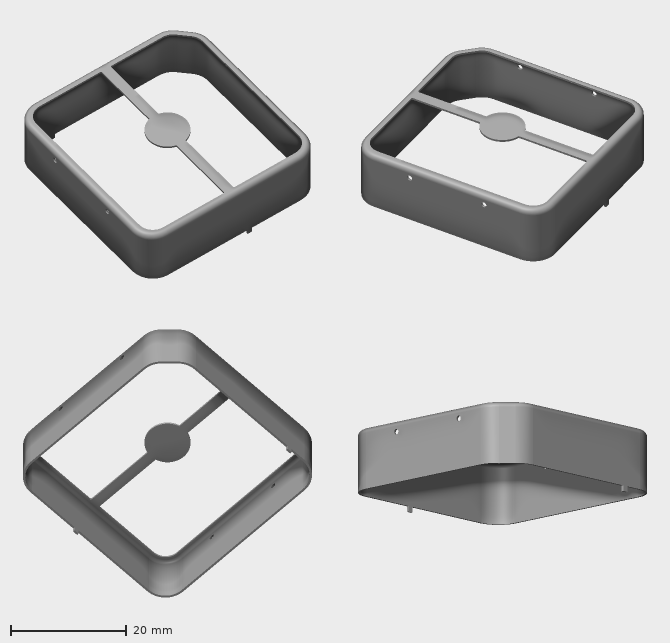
import cadquery as cq

length_x = 38.4
width_y = 37.6
body_height = 11.0
corner_radius = 4.4
chamfer_leg = 4.6
wall = 0.4
top_edge_radius = 1.0

rim_width = 1.5
bar_width = 2.0
bar_corner_radius = 0.3
disc_diameter = 8.0

hole_diameter = 1.0
hole_spacing = 14.98
hole_depth_from_top = 2.0

tab_width = 1.0
tab_height = 1.0
left_tab_y = -10.7
right_tab_y = 3.38


def rounded_prism(inset, height):
    """Prism with one cut corner, all corners rounded, offset inward by inset."""
    half_x = length_x / 2
    half_y = width_y / 2
    prism = (
        cq.Workplane("XY")
        .moveTo(-half_x, -half_y)
        .lineTo(half_x, -half_y)
        .lineTo(half_x, half_y)
        .lineTo(-half_x + chamfer_leg, half_y)
        .lineTo(-half_x, half_y - chamfer_leg)
        .close()
        .extrude(height)
        .edges("|Z")
        .fillet(corner_radius)
    )
    if inset > 0:
        base = prism.faces("<Z").wires().toPending()
        prism = base.offset2D(-inset).extrude(height, combine=False)
    return prism


def make_shell():
    """Open-bottomed cover of constant wall thickness with a rounded top edge."""
    outer = rounded_prism(0, body_height).faces(">Z").edges().fillet(top_edge_radius)
    cavity = rounded_prism(wall, body_height - wall)
    cavity = cavity.faces(">Z").edges().fillet(top_edge_radius - wall)
    return outer.cut(cavity)


def make_top_opening():
    """Opening inside the rim, leaving the cross bar and the central disc."""
    opening = rounded_prism(rim_width, body_height)
    bar = cq.Workplane("XY").rect(length_x, bar_width).extrude(body_height)
    bar_corners = cq.selectors.BoxSelector(
        (-length_x, -bar_width, 0),
        (length_x, bar_width, body_height),
    )
    opening = opening.cut(bar).edges("|Z").edges(bar_corners).fillet(bar_corner_radius)
    disc = cq.Workplane("XY").circle(disc_diameter / 2).extrude(body_height)
    return opening.cut(disc)


def make_side_holes():
    """Round holes running along Y through both long walls."""
    hole_z = body_height - hole_depth_from_top
    return (
        cq.Workplane("XZ")
        .pushPoints([(-hole_spacing / 2, hole_z), (hole_spacing / 2, hole_z)])
        .circle(hole_diameter / 2)
        .extrude(width_y, both=True)
    )


def make_tab(side, y):
    """Tab continuing a side wall downward; side is -1 for left, 1 for right."""
    x = side * (length_x - wall) / 2
    return cq.Workplane("XY").center(x, y).rect(wall, tab_width).extrude(-tab_height)


result = make_shell().cut(make_top_opening()).cut(make_side_holes())
result = result.union(make_tab(-1, left_tab_y)).union(make_tab(1, right_tab_y))